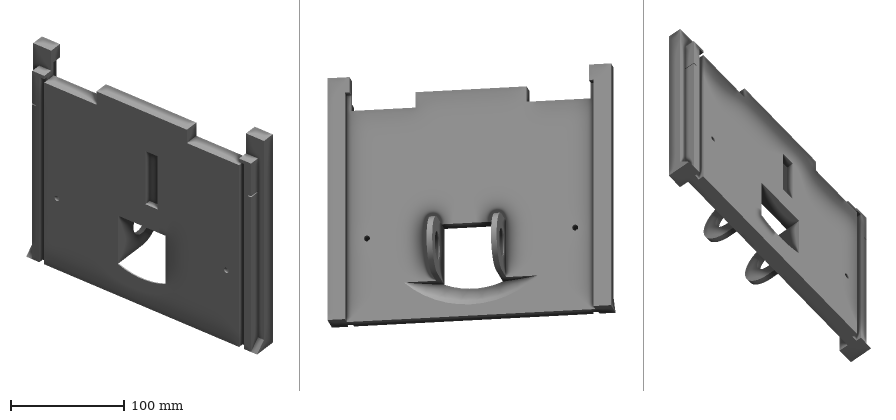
import cadquery as cq

TOTAL_WIDTH = 255.0
TOTAL_DEPTH = 61.7
TOTAL_HEIGHT = 224.0

POST_WIDTH = 20.0
POST_DEPTH = 13.0
STRIP_DEPTH = 10.2
STRIP_SETBACK = 6.6
STRIP_HEIGHT = 202.5
GROOVE_WIDTH = 5.4
GROOVE_DEPTH = 5.0
GROOVE_TOP = 199.0
KERF_LENGTH = 3.5
KERF_HEIGHT = 1.0
KERF_BOTTOM = 166.3

PLATE_DEPTH = 14.0
TAB_WIDTH = 100.0
TAB_RISE = 14.3
REBATE_WIDTH = 4.0

LUG_THICKNESS = 5.0
LUG_RADIUS = 26.0
LUG_HOLE_RADIUS = 12.5
LUG_CENTRE_Z = 60.0

WINDOW_WIDTH = 52.8
WINDOW_SAG = 5.0
SILL_LIP_DEPTH = 1.3
SILL_FLARE = 18.4
POCKET_WIDTH = 13.5
POCKET_HEIGHT = 57.0
POCKET_DEPTH = 6.5
POCKET_LEFT = 4.0
POCKET_BOTTOM = 110.7
PIN_HOLE_DIAMETER = 5.4
PIN_HOLE_X = 93.5
PIN_HOLE_Z = 76.5

half_width = TOTAL_WIDTH / 2
post_inner = half_width - POST_WIDTH
post_rear = STRIP_DEPTH + POST_DEPTH
tab_top = TOTAL_HEIGHT - TAB_RISE
shoulder_top = tab_top - TAB_RISE
lug_centre_y = TOTAL_DEPTH - LUG_RADIUS


def block(x_min, x_max, y_min, y_max, z_min, z_max):
    """Box given by its limits along each axis."""
    return cq.Workplane("XY").box(
        x_max - x_min, y_max - y_min, z_max - z_min, centered=False
    ).translate((x_min, y_min, z_min))


def right_rail():
    """Post with its strip, groove, kerf and sloped foot on the +X side."""
    strip_outer = half_width - STRIP_SETBACK
    post = block(post_inner, half_width, STRIP_DEPTH, post_rear, 0, TOTAL_HEIGHT)
    strip = block(post_inner, strip_outer, 0, STRIP_DEPTH, 0, STRIP_HEIGHT)
    foot = (
        cq.Workplane("YZ", origin=(strip_outer, 0, 0))
        .polyline([(0, 0), (STRIP_DEPTH, 0), (STRIP_DEPTH, STRIP_DEPTH)])
        .close()
        .extrude(STRIP_SETBACK)
    )
    groove = block(post_inner, post_inner + GROOVE_WIDTH, 0, GROOVE_DEPTH, 0, GROOVE_TOP)
    kerf = block(
        strip_outer - KERF_LENGTH, strip_outer, 0, STRIP_DEPTH, KERF_BOTTOM, KERF_BOTTOM + KERF_HEIGHT
    )
    rebate = block(post_inner, post_inner + REBATE_WIDTH, PLATE_DEPTH, post_rear, 0, tab_top)
    return post.union(strip).union(foot).cut(groove).cut(kerf).cut(rebate)


def plate():
    """Flat panel with a raised tab in the middle of its top edge."""
    panel = block(-post_inner, post_inner, 0, PLATE_DEPTH, 0, shoulder_top)
    tab = block(-TAB_WIDTH / 2, TAB_WIDTH / 2, 0, PLATE_DEPTH, 0, tab_top)
    return panel.union(tab)


def lug(x_min):
    """Round-ended lug with a pivot hole, rooted in the rear of the plate."""
    cheek = block(
        x_min, x_min + LUG_THICKNESS, PLATE_DEPTH, lug_centre_y,
        LUG_CENTRE_Z - LUG_RADIUS, LUG_CENTRE_Z + LUG_RADIUS,
    )
    pivot = cq.Workplane("YZ", origin=(x_min, lug_centre_y, LUG_CENTRE_Z))
    round_end = pivot.circle(LUG_RADIUS).extrude(LUG_THICKNESS)
    hole = pivot.circle(LUG_HOLE_RADIUS).extrude(LUG_THICKNESS)
    return cheek.union(round_end).cut(hole)


def window():
    """Square through opening between the lugs, as tall as they are."""
    return block(
        -WINDOW_WIDTH / 2, WINDOW_WIDTH / 2, 0, PLATE_DEPTH,
        LUG_CENTRE_Z - LUG_RADIUS, LUG_CENTRE_Z + LUG_RADIUS,
    )


def window_sill():
    """Bowed sill under the window: a thin level lip, then a steep flare to the rear.

    Only the part below the lugs is removed.
    """
    half = WINDOW_WIDTH / 2
    corner_z = LUG_CENTRE_Z - LUG_RADIUS
    lip_radius = (half**2 + WINDOW_SAG**2) / (2 * WINDOW_SAG)
    rear_radius = lip_radius + SILL_FLARE
    axis_z = corner_z - WINDOW_SAG + lip_radius
    bowed_cutter = (
        cq.Workplane("XY", origin=(0, 0, axis_z))
        .lineTo(lip_radius, 0)
        .lineTo(lip_radius, SILL_LIP_DEPTH)
        .lineTo(rear_radius, PLATE_DEPTH)
        .lineTo(0, PLATE_DEPTH)
        .close()
        .revolve(360, (0, 0), (0, 1))
    )
    below_lugs = block(-rear_radius, rear_radius, 0, PLATE_DEPTH, 0, corner_z)
    return bowed_cutter.intersect(below_lugs)


def pocket():
    """Blind upright slot in the front face."""
    return block(
        POCKET_LEFT, POCKET_LEFT + POCKET_WIDTH, 0, POCKET_DEPTH,
        POCKET_BOTTOM, POCKET_BOTTOM + POCKET_HEIGHT,
    )


def pin_holes():
    """Pair of small through holes, one near each post."""
    return (
        cq.Workplane("XZ")
        .pushPoints([(-PIN_HOLE_X, PIN_HOLE_Z), (PIN_HOLE_X, PIN_HOLE_Z)])
        .circle(PIN_HOLE_DIAMETER / 2)
        .extrude(-PLATE_DEPTH)
    )


rail = right_rail()
body = plate().union(rail).union(rail.mirror("YZ"))
for lug_x in (-WINDOW_WIDTH / 2 - LUG_THICKNESS, WINDOW_WIDTH / 2):
    body = body.union(lug(lug_x))

result = body.cut(window()).cut(window_sill()).cut(pocket()).cut(pin_holes())